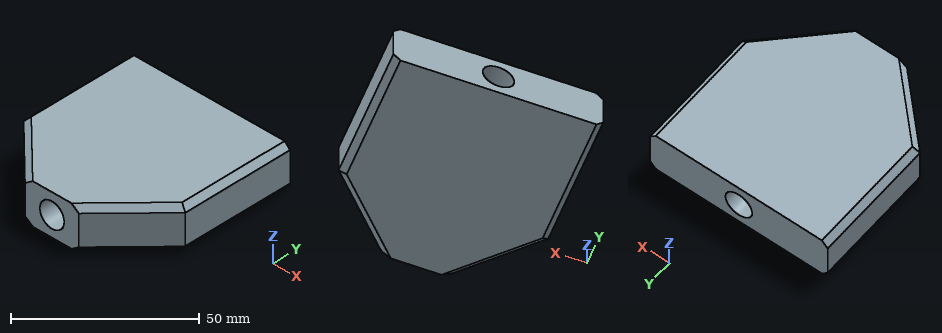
import cadquery as cq

side = 60.0
thickness = side / 4
nose_width = side / 3
edge_chamfer = side / 30
bore_diameter = 9.0

half_width = side / 2
half_nose = nose_width / 2
front_y = -side / 2
back_y = side / 2
shoulder_y = front_y + half_width - half_nose

outline = [
    (-half_width, back_y),
    (-half_width, shoulder_y),
    (-half_nose, front_y),
    (half_nose, front_y),
    (half_width, shoulder_y),
    (half_width, back_y),
]
plate = cq.Workplane("XY").polyline(outline).close().extrude(thickness / 2, both=True)

plate = plate.faces("|Z").edges("not |X").chamfer(edge_chamfer)

bore = cq.Workplane("XZ").circle(bore_diameter / 2).extrude(side / 2, both=True)

result = plate.cut(bore)